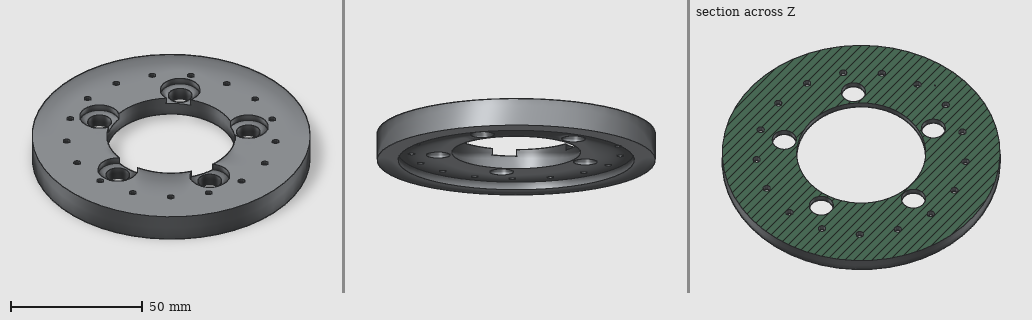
import cadquery as cq

outer_diameter = 106.0
thickness = 10.5
bore_diameter = 49.0

mount_count = 5
mount_circle_radius = 30.0
mount_hole_diameter = 9.0
counterbore_diameter = 15.0
counterbore_depth = 2.5

recess_diameter = 90.0
recess_depth = 3.0

pin_count = 17
pin_circle_radius = 40.0
pin_hole_diameter = 2.5

first_hole_angle = -90
full_turn = 360


def ring_plate():
    """Flat ring standing on the XY plane."""
    return (
        cq.Workplane("XY")
        .circle(outer_diameter / 2)
        .circle(bore_diameter / 2)
        .extrude(thickness)
    )


def cut_underside_recess(plate):
    """Round recess that leaves a full-height rim around the underside."""
    recess = cq.Workplane("XY").circle(recess_diameter / 2).extrude(recess_depth)
    return plate.cut(recess)


def on_hole_circle(plate, radius, count):
    """Evenly spaced hole centres on the top face, starting on the -Y axis."""
    top = plate.faces(">Z").workplane(origin=(0, 0, 0))
    return top.polarArray(radius, first_hole_angle, full_turn, count)


def add_mounting_holes(plate):
    """Through holes whose counterbores break into the central bore."""
    centres = on_hole_circle(plate, mount_circle_radius, mount_count)
    return centres.cboreHole(mount_hole_diameter, counterbore_diameter, counterbore_depth)


def add_pin_holes(plate):
    """Plain through holes in a ring outside the mounting holes."""
    return on_hole_circle(plate, pin_circle_radius, pin_count).hole(pin_hole_diameter)


plate = cut_underside_recess(ring_plate())
plate = add_mounting_holes(plate)
result = add_pin_holes(plate)